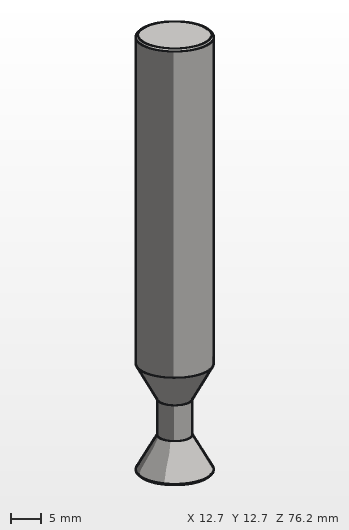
import cadquery as cq

overall_length = 76.2
shank_diameter = 12.7
neck_diameter = 5.7
edge_chamfer = 0.38

neck_bottom = 6.45
neck_top = 12.7
shank_bottom = 18.9

shank_radius = shank_diameter / 2
neck_radius = neck_diameter / 2
end_radius = shank_radius - edge_chamfer


def dovetail_cutter():
    """Revolve the half profile (radius, height) about the Z axis."""
    half_profile = [
        (0, 0),
        (end_radius, 0),
        (shank_radius, edge_chamfer),
        (neck_radius, neck_bottom),
        (neck_radius, neck_top),
        (shank_radius, shank_bottom),
        (shank_radius, overall_length - edge_chamfer),
        (end_radius, overall_length),
        (0, overall_length),
    ]
    return (
        cq.Workplane("XZ")
        .polyline(half_profile)
        .close()
        .revolve(360, (0, 0, 0), (0, 1, 0))
    )


result = dovetail_cutter()